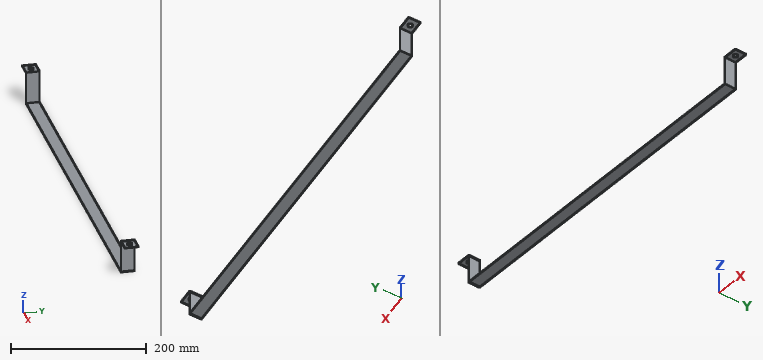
import cadquery as cq

length = 652.0
width = 20.0
height = 51.0
thickness = 1.0

tab_length = 24.0
hole_diameter = 7.0
hole_inset = 12.5

half_length = length / 2
leg_outer_x = half_length - tab_length
leg_inner_x = leg_outer_x - thickness
tab_underside_z = height - thickness


def bent_strip():
    """Flat crossbar with two upright legs and outward tabs, centred on X and Y."""
    right_half = [
        (leg_outer_x, 0),
        (leg_outer_x, tab_underside_z),
        (half_length, tab_underside_z),
        (half_length, height),
        (leg_inner_x, height),
        (leg_inner_x, thickness),
    ]
    left_half = [(-x, z) for x, z in reversed(right_half)]
    profile = cq.Workplane("XZ").polyline(right_half + left_half).close()
    return profile.extrude(width / 2, both=True)


def tab_holes():
    """One vertical cutter through each tab."""
    hole_x = half_length - hole_inset
    return (
        cq.Workplane("XY")
        .workplane(offset=tab_underside_z)
        .pushPoints([(-hole_x, 0), (hole_x, 0)])
        .circle(hole_diameter / 2)
        .extrude(thickness)
    )


result = bent_strip().cut(tab_holes())